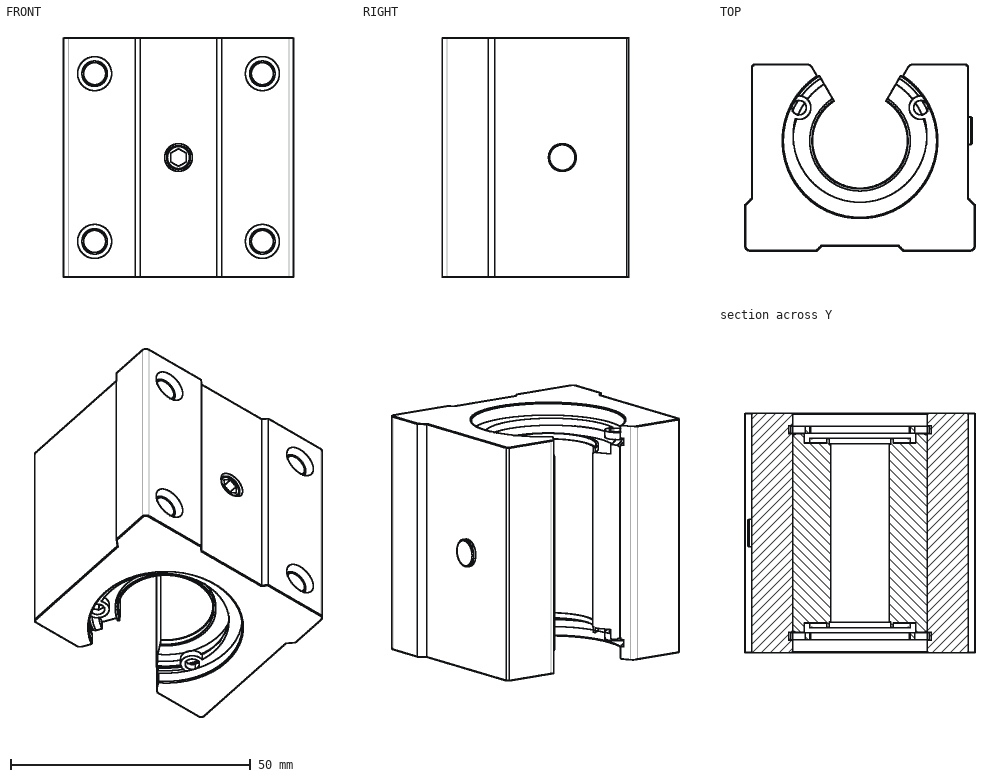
import cadquery as cq
import math

LENGTH = 50.0
MID_Z = LENGTH / 2

BASE_WIDTH = 48.0
BODY_WIDTH = 45.2
HEIGHT = 39.0
BORE_HEIGHT = 23.0
BOTTOM_Y = -BORE_HEIGHT
TOP_Y = BOTTOM_Y + HEIGHT
BASE_SIDE_HEIGHT = 9.6
SHOULDER_RISE = 1.4
BASE_FILLET = 1.0
TOP_CHAMFER = 0.5
END_CHAMFER = 0.15
RELIEF_FLOOR_WIDTH = 16.0
RELIEF_DEPTH = 1.0

OPENING_TILT = math.radians(30)
HOUSING_OPENING_OFFSET = 1.0
BEARING_OPENING_OFFSET = 0.55
OPENING_FILLET = 1.5

BORE_RADIUS = 16.0
BORE_CHAMFER = 0.25
GROOVE_RADIUS = 16.75
RING_THICKNESS = 1.5

BEARING_LENGTH = 41.6
BEARING_BOTTOM = (LENGTH - BEARING_LENGTH) / 2
BEARING_TOP = BEARING_BOTTOM + BEARING_LENGTH
SHELL_INNER_RADIUS = 14.0
SHELL_CHAMFER_WIDTH = 0.6
SHELL_CHAMFER_HEIGHT = 0.3
RECESS_DEPTH = 2.0
LIP_OUTER_RADIUS = 10.5
LIP_INNER_RADIUS = 10.05
LIP_HEIGHT = 0.95
LIP_BORE_DEPTH = 1.15
BEARING_BORE_RADIUS = 9.9

RING_INNER_RADIUS = 13.95
RING_INNER_SHIFT = 1.1
EAR_X = 12.7
EAR_Y = 6.9
EAR_RADIUS = 2.45
EAR_HOLE_RADIUS = 1.5

HOLE_SPACING = 35.0
DRILL_RADIUS = 2.3
DRILL_DEPTH = 12.0
COUNTERSINK_RADIUS = 3.55
COUNTERSINK_FLOOR_RADIUS = 2.65
COUNTERSINK_DEPTH = 1.4
DRILL_POINT_HALF_ANGLE = math.radians(59)

SCREW_RADIUS = 2.5
SCREW_HOLE_CHAMFER = 0.4
SCREW_CHAMFER = 0.2
SCREW_HEAD_DEPTH = 0.5
SOCKET_ACROSS_FLATS = 3.2
SOCKET_DEPTH = 2.5

BOSS_RADIUS = 2.9
BOSS_HEIGHT = 0.8
BOSS_CHAMFER = 0.25
BOSS_Y = 2.1


def cylinder(radius, bottom, top):
    """Cylinder on the bore axis between two heights."""
    return cq.Workplane("XY").workplane(offset=bottom).circle(radius).extrude(top - bottom)


def opening_wedge(offset):
    """Wedge towards +Y whose two flanks lie at the given distance from the bore axis."""
    apex_y = -offset / math.sin(OPENING_TILT)
    far_y = 2 * HEIGHT
    far_x = (far_y - apex_y) * math.tan(OPENING_TILT)
    outline = [(0, apex_y), (far_x, far_y), (-far_x, far_y)]
    return cq.Workplane("XY").polyline(outline).close().extrude(LENGTH)


def revolved_along_y(profile, x, y, z):
    """Revolve (radius, depth) points about a line through (x, y, z) running towards +Y."""
    return (
        cq.Workplane("XY")
        .polyline(profile)
        .close()
        .revolve(360, (0, 0, 0), (0, 1, 0))
        .translate((x, y, z))
    )


def make_blank():
    """Housing prism with its base flange and the shallow relief along the mounting face."""
    half_base = BASE_WIDTH / 2
    half_body = BODY_WIDTH / 2
    half_relief = RELIEF_FLOOR_WIDTH / 2
    shoulder_y = BOTTOM_Y + BASE_SIDE_HEIGHT
    right_side = [
        (half_relief, BOTTOM_Y + RELIEF_DEPTH),
        (half_relief + RELIEF_DEPTH, BOTTOM_Y),
        (half_base, BOTTOM_Y),
        (half_base, shoulder_y),
        (half_body, shoulder_y + SHOULDER_RISE),
        (half_body, TOP_Y - TOP_CHAMFER),
        (half_body - TOP_CHAMFER, TOP_Y),
    ]
    left_side = [(-x, y) for x, y in reversed(right_side)]
    blank = cq.Workplane("XY").polyline(right_side + left_side).close().extrude(LENGTH)
    for side in (-1, 1):
        corner = cq.selectors.NearestToPointSelector((side * half_base, BOTTOM_Y, MID_Z))
        blank = blank.edges(corner).fillet(BASE_FILLET)
    return blank.faces("<Z or >Z").chamfer(END_CHAMFER)


def make_mounting_hole(x, z):
    """Blind hole with a conical bottom below a stepped countersink."""
    point_length = DRILL_RADIUS / math.tan(DRILL_POINT_HALF_ANGLE)
    profile = [
        (0, 0),
        (COUNTERSINK_RADIUS, 0),
        (COUNTERSINK_FLOOR_RADIUS, COUNTERSINK_DEPTH),
        (DRILL_RADIUS, COUNTERSINK_DEPTH),
        (DRILL_RADIUS, DRILL_DEPTH),
        (0, DRILL_DEPTH + point_length),
    ]
    return revolved_along_y(profile, x, BOTTOM_Y, z)


def make_screw_hole():
    """Tapped hole from the relief floor, reaching into the bore."""
    floor_y = BOTTOM_Y + RELIEF_DEPTH
    profile = [
        (0, 0),
        (SCREW_RADIUS + SCREW_HOLE_CHAMFER, 0),
        (SCREW_RADIUS, SCREW_HOLE_CHAMFER),
        (SCREW_RADIUS, -floor_y),
        (0, -floor_y),
    ]
    return revolved_along_y(profile, 0, floor_y, MID_Z)


def make_boss():
    """Low round boss with a chamfered rim on the +X side."""
    return (
        cq.Workplane("YZ", origin=(BODY_WIDTH / 2, 0, 0))
        .center(BOSS_Y, MID_Z)
        .circle(BOSS_RADIUS)
        .extrude(BOSS_HEIGHT)
        .faces(">X")
        .chamfer(BOSS_CHAMFER)
    )


def make_housing():
    """Open housing block with its bore, ring grooves, holes and side boss."""
    body = make_blank().cut(opening_wedge(HOUSING_OPENING_OFFSET))
    corner_x = (TOP_Y + HOUSING_OPENING_OFFSET / math.sin(OPENING_TILT)) * math.tan(OPENING_TILT)
    for side in (-1, 1):
        corner = cq.selectors.NearestToPointSelector((side * corner_x, TOP_Y, MID_Z))
        body = body.edges(corner).fillet(OPENING_FILLET)

    bore = cylinder(BORE_RADIUS, 0, LENGTH)
    bore = bore.union(cylinder(GROOVE_RADIUS, BEARING_TOP, BEARING_TOP + RING_THICKNESS))
    bore = bore.union(cylinder(GROOVE_RADIUS, BEARING_BOTTOM - RING_THICKNESS, BEARING_BOTTOM))
    for end in (-1, 1):
        cone = cq.Solid.makeCone(
            BORE_RADIUS + BORE_CHAMFER,
            BORE_RADIUS,
            BORE_CHAMFER,
            pnt=cq.Vector(0, 0, MID_Z + end * MID_Z),
            dir=cq.Vector(0, 0, -end),
        )
        bore = bore.union(cq.Workplane(cone))
    body = body.cut(bore)

    for x in (-HOLE_SPACING / 2, HOLE_SPACING / 2):
        for z in (MID_Z - HOLE_SPACING / 2, MID_Z + HOLE_SPACING / 2):
            body = body.cut(make_mounting_hole(x, z))
    body = body.cut(make_screw_hole())
    return body.union(make_boss())


def make_retaining_ring(bottom):
    """C-shaped ring, thickest opposite the opening, ending in two ears with plier holes."""
    top = bottom + RING_THICKNESS
    ears = [(-EAR_X, EAR_Y), (EAR_X, EAR_Y)]
    plane = cq.Workplane("XY").workplane(offset=bottom)
    disc = cylinder(GROOVE_RADIUS, bottom, top)
    window = cylinder(RING_INNER_RADIUS, bottom, top).translate((0, RING_INNER_SHIFT, 0))
    gap_half_width = GROOVE_RADIUS * EAR_X / EAR_Y
    gap_outline = [(0, 0), (gap_half_width, GROOVE_RADIUS), (-gap_half_width, GROOVE_RADIUS)]
    gap = plane.polyline(gap_outline).close().extrude(RING_THICKNESS)
    ear_discs = plane.pushPoints(ears).circle(EAR_RADIUS).extrude(RING_THICKNESS)
    ear_discs = ear_discs.intersect(cylinder(BORE_RADIUS, bottom, top))
    ear_holes = plane.pushPoints(ears).circle(EAR_HOLE_RADIUS).extrude(RING_THICKNESS)
    return disc.cut(window).cut(gap).union(ear_discs).cut(ear_holes)


def make_bearing():
    """Open bearing sleeve with recessed, lipped ends and a retaining ring on each end."""
    recess_z = BEARING_TOP - RECESS_DEPTH
    lip_z = recess_z + LIP_HEIGHT
    profile = [
        (BEARING_BORE_RADIUS, MID_Z),
        (BORE_RADIUS, MID_Z),
        (BORE_RADIUS, BEARING_TOP - SHELL_CHAMFER_HEIGHT),
        (BORE_RADIUS - SHELL_CHAMFER_WIDTH, BEARING_TOP),
        (SHELL_INNER_RADIUS, BEARING_TOP),
        (SHELL_INNER_RADIUS, recess_z),
        (LIP_OUTER_RADIUS, recess_z),
        (LIP_OUTER_RADIUS, lip_z),
        (LIP_INNER_RADIUS, lip_z),
        (LIP_INNER_RADIUS, lip_z - LIP_BORE_DEPTH),
        (BEARING_BORE_RADIUS, lip_z - LIP_BORE_DEPTH),
    ]
    upper = cq.Workplane("XZ").polyline(profile).close().revolve(360, (0, 0, 0), (0, 1, 0))
    lower = upper.mirror("XY", (0, 0, MID_Z))
    sleeve = upper.union(lower).cut(opening_wedge(BEARING_OPENING_OFFSET))
    for bottom in (BEARING_TOP, BEARING_BOTTOM - RING_THICKNESS):
        sleeve = sleeve.union(make_retaining_ring(bottom))
    return sleeve


def make_set_screw():
    """Hexagon socket set screw whose tip rests on the bearing."""
    head_y = BOTTOM_Y + RELIEF_DEPTH + SCREW_HEAD_DEPTH
    length = -BORE_RADIUS - head_y
    profile = [
        (0, 0),
        (SCREW_RADIUS - SCREW_CHAMFER, 0),
        (SCREW_RADIUS, SCREW_CHAMFER),
        (SCREW_RADIUS, length),
        (0, length),
    ]
    screw = revolved_along_y(profile, 0, head_y, MID_Z)
    across_corners = SOCKET_ACROSS_FLATS / math.cos(math.pi / 6)
    socket = (
        cq.Workplane("XZ", origin=(0, head_y, MID_Z))
        .transformed(rotate=(0, 0, 90))
        .polygon(6, across_corners)
        .extrude(-SOCKET_DEPTH)
    )
    return screw.cut(socket)


housing = make_housing()
bearing = make_bearing()
set_screw = make_set_screw()

result = cq.Compound.makeCompound(
    [
        housing.solids().val(),
        bearing.solids().val(),
        set_screw.solids().val(),
    ]
)